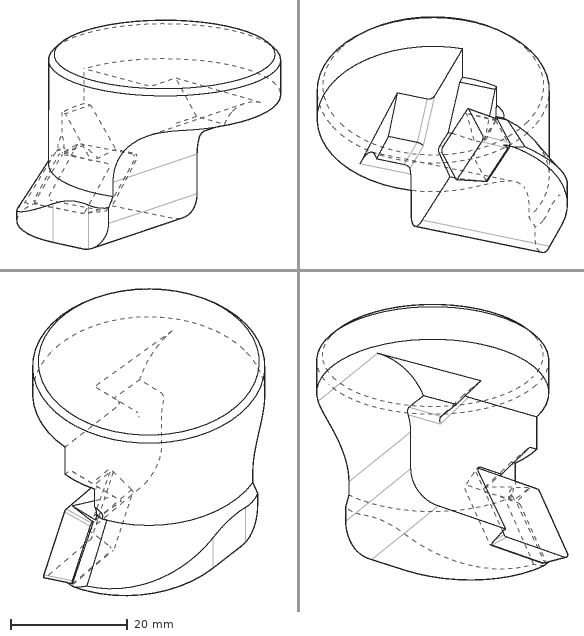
import cadquery as cq
import math

SHANK_RADIUS = 40.0 / 2
TOP_CHAMFER = 1.0
FLANGE_HEIGHT = 7.3
SHANK_HEIGHT = 19.9
FLARE_HEIGHT = 13.6
CONE_ANGLE = 31.1
REACH = 93.8

CORE_RIGHT = 5.65
FLANGE_ARC_RADIUS = 10.0
HEEL_RADIUS = 5.65
HEEL_HEIGHT = 30.1
BOTTOM_SLOPE = 3.0

TRIM_CENTER = (-6.6, -1.65)
TRIM_RADIUS = 19.485
TRIM_FLAT_END = 1.65
TRIM_END_RADIUS = 10.3

FLUTE_Y = 1.95
FLUTE_ANGLE = 2.1
RIB_LEFT = 0.0
RIB_BACK = 8.1
RIB_BOTTOM = 13.2
RIB_FILLET = 0.95
EDGE_MARGIN = 0.45

FLANK_TOP_X = -18.6
GULLET_WALL_ANGLE = 40.0
NOTCH_LEDGE_X = -18.53
NOTCH_TOP = 13.6
NOTCH_BOTTOM = 20.8
NOTCH_FRONT = -5.1
RELIEF_RADIUS = 6.15 / 2
RELIEF_X = -21.95
RELIEF_Z = -19.3
RELIEF_FRONT = -6.9

INSERT_SIDE = 13.3
INSERT_THICKNESS = 5.45
INSERT_CORNER_RADIUS = 0.6
INSERT_TIP = (-27.4, -0.2, -32.35)
INSERT_LEAD_ANGLE = 60.0
INSERT_RELIEF_ANGLE = 7.0
INSERT_TURN = 2.5
INSERT_LEAN = 2.0


def slope(angle):
    return math.tan(math.radians(angle))


def make_blank():
    """Chamfered round shank with a flared cone below it."""
    cone_height = FLARE_HEIGHT
    base_z = -SHANK_HEIGHT - cone_height
    base_radius = SHANK_RADIUS + cone_height * slope(CONE_ANGLE)
    return (
        cq.Workplane("XZ")
        .polyline([
            (0, 0),
            (SHANK_RADIUS - TOP_CHAMFER, 0),
            (SHANK_RADIUS, -TOP_CHAMFER),
            (SHANK_RADIUS, -SHANK_HEIGHT),
            (base_radius, base_z),
            (0, base_z),
        ])
        .close()
        .revolve(360, (0, 0), (0, 1))
    )


def make_side_envelope():
    """Side outline with the flange arc, the rounded heel and the sloping bottom."""
    diagonal = math.sqrt(0.5)
    arc_x = CORE_RIGHT + FLANGE_ARC_RADIUS
    arc_z = -FLANGE_HEIGHT - FLANGE_ARC_RADIUS
    heel_x = CORE_RIGHT - HEEL_RADIUS
    heel_z = -HEEL_HEIGHT + HEEL_RADIUS
    return (
        cq.Workplane("XZ")
        .moveTo(-REACH, 0)
        .lineTo(REACH, 0)
        .lineTo(REACH, -FLANGE_HEIGHT)
        .lineTo(arc_x, -FLANGE_HEIGHT)
        .threePointArc(
            (arc_x - FLANGE_ARC_RADIUS * diagonal, arc_z + FLANGE_ARC_RADIUS * diagonal),
            (CORE_RIGHT, arc_z),
        )
        .lineTo(CORE_RIGHT, heel_z)
        .threePointArc(
            (heel_x + HEEL_RADIUS * diagonal, heel_z - HEEL_RADIUS * diagonal),
            (heel_x, -HEEL_HEIGHT),
        )
        .lineTo(-REACH, -HEEL_HEIGHT - (REACH + heel_x) * slope(BOTTOM_SLOPE))
        .close()
        .extrude(REACH, both=True)
    )


def make_plan_envelope():
    """Full room around the shank, and the rounded outline with a flat -Y side below it."""
    center_x, center_y = TRIM_CENTER
    diagonal = TRIM_RADIUS * math.sqrt(0.5)
    lower = (
        cq.Workplane("XY")
        .moveTo(center_x - TRIM_RADIUS, center_y)
        .threePointArc(
            (center_x - diagonal, center_y - diagonal),
            (center_x, center_y - TRIM_RADIUS),
        )
        .lineTo(TRIM_FLAT_END, center_y - TRIM_RADIUS)
        .tangentArcPoint(
            (TRIM_FLAT_END + TRIM_END_RADIUS, center_y - TRIM_RADIUS + TRIM_END_RADIUS),
            relative=False,
        )
        .lineTo(TRIM_FLAT_END + TRIM_END_RADIUS, REACH)
        .lineTo(center_x - TRIM_RADIUS, REACH)
        .close()
        .extrude(-REACH)
    )
    upper = cq.Workplane("XY").circle(SHANK_RADIUS).extrude(-SHANK_HEIGHT)
    return lower.union(upper)


def make_flute_cut():
    """Space on the +Y side below the flange, leaving a short rib under the flange."""
    space = (
        cq.Workplane("XY")
        .box(2 * REACH, REACH, REACH, centered=(True, False, False))
        .rotate((0, 0, 0), (0, 0, 1), FLUTE_ANGLE)
        .translate((0, FLUTE_Y, -FLANGE_HEIGHT - REACH))
    )
    wall_run = (RIB_BOTTOM - FLANGE_HEIGHT) * slope(GULLET_WALL_ANGLE)
    rib = (
        cq.Workplane("XZ")
        .polyline([
            (RIB_LEFT - wall_run, -FLANGE_HEIGHT),
            (RIB_LEFT, -RIB_BOTTOM),
            (SHANK_RADIUS, -RIB_BOTTOM),
            (SHANK_RADIUS, -FLANGE_HEIGHT),
        ])
        .close()
        .extrude(-RIB_BACK)
    )
    root = cq.selectors.BoxSelector(
        (-SHANK_RADIUS, 0, -RIB_BOTTOM - EDGE_MARGIN),
        (SHANK_RADIUS, FLUTE_Y + RIB_FILLET, -FLANGE_HEIGHT - EDGE_MARGIN),
    )
    return space.cut(rib).edges(root).fillet(RIB_FILLET)


def make_flank_cut():
    """Flat on the cone alongside the long flank of the insert, parallel to the cone side."""
    drop = FLARE_HEIGHT
    foot_x = FLANK_TOP_X - drop * slope(CONE_ANGLE)
    return (
        cq.Workplane("XZ")
        .polyline([
            (FLANK_TOP_X, -SHANK_HEIGHT),
            (foot_x, -SHANK_HEIGHT - drop),
            (-REACH, -SHANK_HEIGHT - drop),
            (-REACH, -SHANK_HEIGHT),
        ])
        .close()
        .extrude(REACH, both=True)
    )


def make_notch_cut():
    """Chip gullet above the insert, with a sloping inner wall, open to the flute."""
    wall_run = (NOTCH_BOTTOM - NOTCH_TOP) * slope(GULLET_WALL_ANGLE)
    return (
        cq.Workplane("XZ", origin=(0, NOTCH_FRONT, 0))
        .polyline([
            (-REACH, -NOTCH_TOP),
            (NOTCH_LEDGE_X, -NOTCH_TOP),
            (NOTCH_LEDGE_X + wall_run, -NOTCH_BOTTOM),
            (-REACH, -NOTCH_BOTTOM),
        ])
        .close()
        .extrude(NOTCH_FRONT - FLUTE_Y)
    )


def make_relief_cut():
    """Round groove along Y above the upper corner of the insert."""
    return (
        cq.Workplane("XZ", origin=(0, RELIEF_FRONT, 0))
        .center(RELIEF_X, RELIEF_Z)
        .circle(RELIEF_RADIUS)
        .extrude(-REACH)
    )


def make_insert_shape(depth, taper):
    """Rounded rhombic prism from the rake face; positive depth runs toward -Y."""
    lead = math.radians(INSERT_LEAD_ANGLE)
    base = math.radians(BOTTOM_SLOPE)
    flank_x, flank_z = INSERT_SIDE * math.cos(lead), INSERT_SIDE * math.sin(lead)
    edge_x, edge_z = INSERT_SIDE * math.cos(base), INSERT_SIDE * math.sin(base)
    return (
        cq.Workplane("XZ")
        .polyline([
            (0, 0),
            (edge_x, edge_z),
            (edge_x + flank_x, edge_z + flank_z),
            (flank_x, flank_z),
        ])
        .close()
        .extrude(depth, taper=taper)
        .edges("not(#Y)")
        .fillet(INSERT_CORNER_RADIUS)
        .rotate((0, 0, 0), (1, 0, 0), -INSERT_LEAN)
        .rotate((0, 0, 0), (0, 0, 1), INSERT_TURN)
        .translate(INSERT_TIP)
    )


def make_insert():
    return make_insert_shape(INSERT_THICKNESS, INSERT_RELIEF_ANGLE)


def make_head():
    """Holder head with the flute, the reliefs and the open pocket for the insert."""
    head = make_blank().intersect(make_side_envelope()).intersect(make_plan_envelope())
    head = head.cut(make_flute_cut())
    head = head.cut(make_flank_cut()).cut(make_notch_cut()).cut(make_relief_cut())
    pocket_opening = make_insert_shape(-INSERT_THICKNESS, 0)
    return head.cut(make_insert()).cut(pocket_opening)


insert = make_insert()
head = make_head()
result = cq.Compound.makeCompound([head.solids().val(), insert.solids().val()])